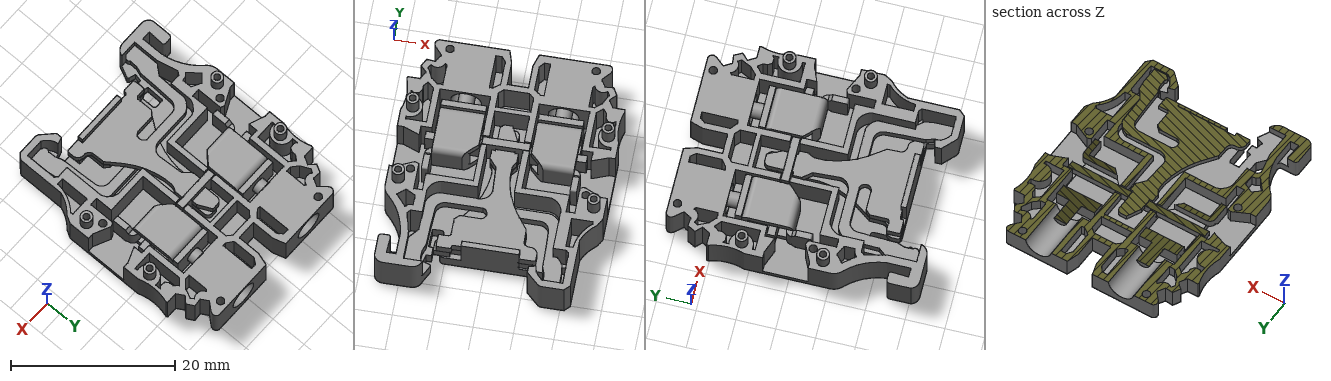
import cadquery as cq


width = 27.0
height = 32.2
body_depth = 5.0
pin_length = 2.05
catch_depth = 0.56
half_width = width / 2

chamber_floor = 0.72
pocket_floor = 1.04
foot_floor = 1.54
sheet_thickness = 1.05
sheet_bottom = 1.9
sheet_top = sheet_bottom + 2 * sheet_thickness

pin_radius = 0.78
pin_bore_radius = 0.42
pin_x = -12.1
pin_heights = (22.33, 12.11)
pin_pad_radius = 1.5
pin_pad_offset = 0.3
small_hole_radius = 0.5
small_holes = ((-9.04, 31.14), (-10.86, 13.66))

catch_outer_x = -12.7
catch_inner_x = -11.5
catch_bottom_y = 13.25
catch_top_y = 18.21
right_catch_shift = 0.3

foot_bottom_y = 3.94
stop_wall_left = -2.9
stop_wall_right = 4.29
stop_wall_width = 0.7
sheet_notch_depth = 0.5
sheet_notch_left = -4.1
sheet_left = -5.99
sheet_right = 6.33
sheet_corner_radius = 0.22
recess_overrun = 0.2

bar_bottom_y = 18.69
bar_width = 1.0
bar_half_length = 10.0
bar_web_half_length = 2.95
bar_web_top = 4.9
bar_arm_bottom = 1.65
bar_arm_top = 4.1
bar_seat_gap = 0.12
sheet_neck_half_width = 1.2

cage_outer_x = -8.8
cage_inner_x = -3.24
cage_bottom_y = 16.7
cage_ring_top_y = 23.2
cage_thickness = 0.81
cage_back = 0.76
cage_front = 4.92
cage_corner_cut = 1.75
lip_neck_back = 1.53
lip_neck_front = 4.1
lip_back = 1.05
lip_front = 4.57
lip_end_y = 14.2
lip_taper = 0.46
lip_end_radius = 0.23
screw_x = -6.03
screw_axis_z = (cage_back + cage_front) / 2
screw_radius = 1.0
screw_reach = 2.0
screw_hole_radius = 1.9
chamber_top_y = 25.36


def prism(outline, bottom, top):
    """Extrude a closed XY outline between two Z levels."""
    return outline.close().extrude(top - bottom).translate((0, 0, bottom))


def polygon(points, bottom, top):
    return prism(cq.Workplane("XY").polyline(points), bottom, top)


def block(x_range, y_range, z_range):
    corners = [(x, y_range[0]) for x in x_range] + [(x, y_range[1]) for x in reversed(x_range)]
    return polygon(corners, *z_range)


def mirrored(solid):
    return solid.mirror("YZ")


def screw_cylinder(radius, start_y, end_y):
    """Cylinder on the left clamp screw's axis."""
    circle = cq.Workplane("XZ").center(screw_x, screw_axis_z).circle(radius)
    return circle.extrude(start_y - end_y).translate((0, start_y, 0))


def housing_profile():
    """Outer outline: mirrored shoulders on top, and a different rail foot on each side."""
    shoulder = [
        (-10.98, 31.48), (-10.83, 31.16), (-9.92, 30.1), (-10.5, 29.11), (-11.58, 29.21),
        (-12.12, 28.2), (-11.34, 27.41), (-11.93, 26.4), (-13.44, 26.4),
    ]
    shoulder_tip = (-half_width, 26.17)
    waist_middle = (-13.12, 23.9)
    waist_end = (-half_width, 21.66)
    notch_corner = (-1.31, 27.41)
    notch_bend = (-1.31, 30.53)
    notch_mouth = (-1.82, 32.2)
    crown_end = (-10.5, height)
    crown_round = (-10.85, 31.99)

    def flip(point):
        return (-point[0], point[1])

    outline = (
        cq.Workplane("XY")
        .moveTo(*flip(notch_corner))
        .lineTo(*notch_corner)
        .lineTo(*notch_bend)
        .lineTo(*notch_mouth)
        .lineTo(*crown_end)
        .threePointArc(crown_round, shoulder[0])
        .polyline(shoulder, includeCurrent=False)
    )
    outline = (
        outline.lineTo(*shoulder_tip)
        .threePointArc(waist_middle, waist_end)
        .lineTo(-half_width, 10.94)
        .threePointArc((-13.35, 10.14), (-12.86, 9.44))
        .threePointArc((-11.43, 7.52), (-10.5, 4.51))
        .threePointArc((-10.6, 4.11), (-10.92, 3.96))
        .lineTo(-12.59, 3.96)
        .threePointArc((-12.93, 3.83), (-13.06, 3.49))
        .lineTo(-13.06, 0.87)
        .threePointArc((-12.78, 0.38), (-11.98, 0))
        .lineTo(-8.42, 0)
        .threePointArc((-7.62, 0.28), (-7.13, 1.02))
        .lineTo(-6.39, 2.52)
        .lineTo(-6.52, 2.71)
        .lineTo(-7.41, 2.99)
        .lineTo(-7.19, 3.96)
        .lineTo(-6.54, 3.96)
        .lineTo(-6.54, 5.1)
        .lineTo(-7.13, 5.23)
        .lineTo(-7.07, 7.66)
        .lineTo(-6.05, 7.69)
        .threePointArc((-5.75, 7.6), (-5.61, 7.28))
        .lineTo(-5.61, 4.51)
        .threePointArc((-5.46, 4.11), (-5.06, foot_bottom_y))
    )
    outline = (
        outline.lineTo(7.21, foot_bottom_y)
        .lineTo(7.51, 2.99)
        .lineTo(5.71, 2.48)
        .lineTo(5.71, 1.69)
        .lineTo(7.22, 0.23)
        .threePointArc((7.47, 0.06), (7.79, 0))
        .lineTo(10.54, 0)
        .lineTo(11.22, 0.72)
        .lineTo(11.22, 7.22)
        .threePointArc((11.91, 8.57), (12.91, 9.65))
        .lineTo(half_width, 10.67)
        .lineTo(*flip(waist_end))
        .threePointArc(flip(waist_middle), flip(shoulder_tip))
    )
    outline = (
        outline.polyline([flip(point) for point in reversed(shoulder)], includeCurrent=True)
        .threePointArc(flip(crown_round), flip(crown_end))
        .lineTo(*flip(notch_mouth))
        .lineTo(*flip(notch_bend))
    )
    return outline


def clamp_chamber():
    """Left chamber for a clamp cage, with its flared wire entry and the slot for the bar's end."""
    points = [
        (-9.27, chamber_top_y), (-3.01, chamber_top_y), (-3.01, 13.32), (-8.89, 13.32),
        (-8.89, 10.95), (-9.97, 10.95), (-9.97, 14.52), (-10.5, 14.71), (-12.72, 13.66),
        (-half_width, 13.66), (-half_width, 19.35), (-12.72, 19.35), (-10.64, 18.54),
        (-10.64, 19.79), (-9.27, 19.79),
    ]
    return polygon(points, chamber_floor, body_depth)


def driver_hole():
    """Hole from the top edge into the left chamber, in line with the clamp screw."""
    return screw_cylinder(screw_hole_radius, chamber_top_y, height)


def pin_pocket():
    """Pocket beside the upper pin, leaving a round pad about it."""
    points = [
        (-10.07, 25.36), (-10.86, 26.04), (-11.34, 25.45), (-11.34, 24.88), (-11.68, 24.37),
        (-12.38, 24.33), (-12.68, 24.56), (-12.68, 20.49), (-10.07, 20.49),
    ]
    pocket = polygon(points, pocket_floor, body_depth)
    pad = (
        cq.Workplane("XY")
        .center(pin_x - pin_pad_offset, pin_heights[0])
        .circle(pin_pad_radius)
        .extrude(body_depth)
    )
    return pocket.cut(pad)


def shoulder_pocket():
    outline = (
        cq.Workplane("XY")
        .moveTo(-9.03, 26.04)
        .lineTo(-9.75, 26.04)
        .lineTo(-10.58, 26.78)
        .lineTo(-11.21, 28.11)
        .lineTo(-10.92, 28.54)
        .threePointArc((-10.07, 28.31), (-9.25, 29.02))
        .lineTo(-9.03, 28.83)
    )
    return prism(outline, pocket_floor, body_depth)


def marker_slot():
    points = [
        (-3.39, 31.16), (-2.62, 31.16), (-2.1, 30.49), (-2.1, 27.27), (-2.96, 26.61), (-3.39, 26.61),
    ]
    return polygon(points, pocket_floor, body_depth)


def centre_pocket():
    points = [
        (-2.16, 24.03), (-2.16, 26.04), (-1.54, 26.61), (1.57, 26.61), (2.2, 26.04), (2.2, 24.03),
    ]
    return polygon(points, pocket_floor, body_depth)


def left_foot_pocket():
    points = [
        (-10.86, 10.69), (-11.87, 9.82), (-10.6, 8.3), (-10.16, 8.64), (-9.63, 8.7), (-9.63, 10.03),
    ]
    return polygon(points, pocket_floor, body_depth)


def right_foot_pocket():
    outline = (
        cq.Workplane("XY")
        .moveTo(9.71, 10.12)
        .lineTo(12.36, 10.12)
        .lineTo(12.36, 9.78)
        .threePointArc((11.11, 8.07), (10.6, 6.14))
        .lineTo(9.71, 6.14)
    )
    return prism(outline, pocket_floor, body_depth)


def hook_groove():
    """Groove behind the left hook, open towards the arm."""
    outline = (
        cq.Workplane("XY")
        .moveTo(-11.87, 3.96)
        .threePointArc((-11.66, 3.87), (-11.57, 3.58))
        .lineTo(-11.68, 1.48)
        .lineTo(-10.5, 1.48)
        .lineTo(-10.5, 4.51)
        .lineTo(-11.87, 4.51)
    )
    return prism(outline, pocket_floor, body_depth)


def foot_recess():
    """Open recess in which the two foot sheets lie, reaching down into both hooks."""
    outline = (
        cq.Workplane("XY")
        .moveTo(-2.29, 19.16)
        .lineTo(-2.29, 12.53)
        .lineTo(-6.84, 12.53)
        .threePointArc((-7.81, 11.98), (-8.36, 11.01))
        .lineTo(-8.36, 7.88)
        .lineTo(-9.82, 7.88)
        .lineTo(-10.16, 7.45)
        .lineTo(-9.5, 4.62)
        .lineTo(-9.5, 1.02)
        .lineTo(-5.99, 1.02)
        .lineTo(-5.99, foot_bottom_y - recess_overrun)
        .lineTo(6.62, foot_bottom_y - recess_overrun)
        .lineTo(6.62, 2.67)
        .threePointArc((7.0, 1.63), (7.75, 0.93))
        .lineTo(10.22, 0.93)
        .lineTo(10.22, 5.23)
        .lineTo(9.84, 5.57)
        .lineTo(8.23, 5.57)
        .lineTo(8.23, 11.01)
        .threePointArc((7.7, 11.98), (6.71, 12.53))
        .lineTo(2.2, 12.53)
        .lineTo(2.2, 19.16)
    )
    return prism(outline, foot_floor, body_depth)


def rail_openings():
    """Openings through the floor beside the left and right legs."""
    left = [(-9.82, 7.88), (-10.16, 7.45), (-9.5, 4.62), (-8.42, 5.99), (-8.42, 7.88)]
    right = [(8.99, 4.98), (10.22, 5.1), (10.22, 1.25), (8.99, 1.25)]
    return polygon(left, 0, body_depth).union(polygon(right, 0, body_depth))


def bar_seat():
    seat_x = (-3.01, 3.01)
    seat_y = (bar_bottom_y - bar_seat_gap, bar_bottom_y + bar_width + bar_seat_gap)
    seat = block(seat_x, seat_y, (foot_floor, body_depth))
    window = block((-2.16, 2.16), (seat_y[0], 23.43), (foot_floor, body_depth))
    return seat.union(window)


def locating_pin(y):
    return cq.Workplane("XY").center(pin_x, y).circle(pin_radius).extrude(body_depth + pin_length)


def pin_bore(y):
    bore = cq.Workplane("XY").center(pin_x, y).circle(pin_bore_radius).extrude(pin_length)
    return bore.translate((0, 0, body_depth))


def small_hole(centre):
    hole = cq.Workplane("XY").center(*centre).circle(small_hole_radius)
    return hole.extrude(body_depth - pocket_floor).translate((0, 0, pocket_floor))


def side_catch():
    """Wedge below the rear face, deepest on its inner side."""
    triangle = [(catch_outer_x, 0), (catch_inner_x, 0), (catch_inner_x, -catch_depth)]
    wedge = cq.Workplane("XZ").polyline(triangle).close().extrude(catch_bottom_y - catch_top_y)
    return wedge.translate((0, catch_bottom_y, 0))


def make_housing():
    housing = prism(housing_profile(), 0, body_depth)
    paired_cuts = [clamp_chamber(), driver_hole(), pin_pocket(), shoulder_pocket(), marker_slot()]
    paired_cuts += [small_hole(centre) for centre in small_holes]
    for cut in paired_cuts:
        housing = housing.cut(cut).cut(mirrored(cut))
    single_cuts = [
        centre_pocket(), left_foot_pocket(), right_foot_pocket(), hook_groove(),
        foot_recess(), bar_seat(), rail_openings(),
    ]
    for cut in single_cuts:
        housing = housing.cut(cut)
    stop_wall = block(
        (stop_wall_left, stop_wall_right),
        (foot_bottom_y, foot_bottom_y + stop_wall_width),
        (0, body_depth),
    )
    housing = housing.union(stop_wall)
    for y in pin_heights:
        pin = locating_pin(y).cut(pin_bore(y))
        housing = housing.union(pin).union(mirrored(pin))
    catch = side_catch()
    return housing.union(catch).union(mirrored(catch).translate((right_catch_shift, 0, 0)))


def foot_sheet(bottom):
    """Flat foot stamping with one spring leg on the left, its foot plate and a neck through the bar."""
    neck = sheet_neck_half_width
    corner = sheet_corner_radius
    notch_y = foot_bottom_y + sheet_notch_depth
    outline = (
        cq.Workplane("XY")
        .moveTo(-neck, 18.54)
        .lineTo(-neck, 21.66)
        .threePointArc((-1.02, 22.08), (-0.59, 22.29))
        .lineTo(0.3, 22.29)
        .lineTo(neck, 20.39)
        .lineTo(neck, 18.54)
        .lineTo(1.65, 18.54)
        .lineTo(1.65, 17.3)
        .threePointArc((1.35, 16.85), (1.21, 16.32))
        .lineTo(1.21, 15.28)
        .threePointArc((1.78, 12.66), (2.96, 10.25))
        .lineTo(4.44, 8.17)
        .lineTo(4.49, 6.56)
        .threePointArc((4.76, 5.99), (5.33, 5.8))
        .threePointArc((6.05, 5.55), (6.33, 4.95))
        .lineTo(sheet_right, foot_bottom_y + corner)
        .radiusArc((sheet_right - corner, foot_bottom_y), corner)
        .lineTo(stop_wall_right, foot_bottom_y)
        .lineTo(stop_wall_right, notch_y)
        .lineTo(sheet_notch_left + corner, notch_y)
        .radiusArc((sheet_notch_left, notch_y - corner), -corner)
        .radiusArc((sheet_notch_left - corner, foot_bottom_y), corner)
        .lineTo(sheet_left + corner, foot_bottom_y)
        .radiusArc((sheet_left, foot_bottom_y + corner), corner)
        .lineTo(sheet_left, 5.67)
        .lineTo(-4.76, 5.67)
        .threePointArc((-4.55, 5.78), (-4.47, 5.99))
        .lineTo(-4.47, 8.17)
        .lineTo(-3.87, 8.74)
        .lineTo(-1.25, 8.74)
        .threePointArc((-0.68, 9.5), (-1.25, 10.25))
        .lineTo(-5.71, 10.25)
        .threePointArc((-6.66, 9.87), (-7.02, 9.02))
    )
    outline = (
        outline.lineTo(-7.13, 6.84)
        .lineTo(-7.21, 4.0)
        .lineTo(-7.55, 3.05)
        .lineTo(-7.58, 2.01)
        .threePointArc((-7.41, 1.57), (-7.77, 1.16))
        .lineTo(-7.85, 1.02)
        .lineTo(-9.65, 1.02)
        .lineTo(-9.65, 3.43)
        .lineTo(-9.48, 4.7)
        .lineTo(-8.46, 5.95)
        .lineTo(-8.36, 9.97)
        .threePointArc((-7.81, 10.92), (-6.84, 11.49))
        .lineTo(-1.97, 11.49)
        .threePointArc((-0.93, 11.96), (-0.55, 12.91))
        .lineTo(-0.74, 16.22)
        .lineTo(-1.67, 17.36)
        .lineTo(-1.67, 18.54)
    )
    return prism(outline, bottom, bottom + sheet_thickness)


def make_bar():
    """Conductor bar: a tall web between the cages and a lower arm into each of them."""
    bar_y = (bar_bottom_y, bar_bottom_y + bar_width)
    web = block((-bar_web_half_length, bar_web_half_length), bar_y, (foot_floor, bar_web_top))
    arms = block((-bar_half_length, bar_half_length), bar_y, (bar_arm_bottom, bar_arm_top))
    slot = block((-sheet_neck_half_width, sheet_neck_half_width), bar_y, (sheet_bottom, sheet_top))
    return web.union(arms).cut(slot)


def cage_ring():
    """Bent strip open along X, doubled on its screw side and with one corner cut off."""
    x_range = (cage_outer_x, cage_inner_x)
    z_range = (cage_back, cage_front)
    ring = block(x_range, (cage_bottom_y, cage_ring_top_y), z_range)
    ring = ring.edges("|X").fillet(cage_thickness)
    ring = ring.cut(
        block(
            x_range,
            (cage_bottom_y + cage_thickness, cage_ring_top_y - cage_thickness),
            (cage_back + cage_thickness, cage_front - cage_thickness),
        )
    )
    flap = block(x_range, (cage_ring_top_y, cage_ring_top_y + cage_thickness), z_range)
    corner = [
        (cage_inner_x - cage_corner_cut, cage_bottom_y),
        (cage_inner_x, cage_bottom_y),
        (cage_inner_x, cage_bottom_y + cage_corner_cut),
    ]
    return ring.union(flap).cut(polygon(corner, cage_back, cage_front))


def cage_lip():
    """Continuation of the cage's lower side, bent down into a tapered tab."""
    thickness = cage_thickness
    bend_y = cage_bottom_y + thickness
    neck = (
        cq.Workplane("XY")
        .moveTo(cage_outer_x, cage_bottom_y)
        .lineTo(cage_outer_x, bend_y)
        .radiusArc((cage_outer_x - thickness, cage_bottom_y), -thickness)
    )
    neck = prism(neck, lip_neck_back, lip_neck_front)
    tab_profile = [
        (cage_bottom_y, lip_neck_back),
        (cage_bottom_y, lip_neck_front),
        (cage_bottom_y - lip_taper, lip_front),
        (lip_end_y, lip_front),
        (lip_end_y, lip_back),
        (cage_bottom_y - lip_taper, lip_back),
    ]
    tab = cq.Workplane("YZ").polyline(tab_profile).close().extrude(thickness)
    tab = tab.faces("<Y").edges("|X").fillet(lip_end_radius)
    return neck.union(tab.translate((cage_outer_x - thickness, 0, 0)))


def cage_screw():
    """Screw standing out of the cage and reaching into the driver hole."""
    return screw_cylinder(screw_radius, cage_ring_top_y + cage_thickness, chamber_top_y + screw_reach)


def make_cage():
    return cage_ring().union(cage_lip()).union(cage_screw())


bar = make_bar()
front_sheet = foot_sheet(sheet_bottom + sheet_thickness)
rear_sheet = mirrored(foot_sheet(sheet_bottom))
left_cage = make_cage()
cages = [left_cage, mirrored(left_cage)]

housing = make_housing().cut(front_sheet).cut(rear_sheet)

bodies = [housing, bar, front_sheet, rear_sheet, *cages]
result = cq.Compound.makeCompound([body.solids().val() for body in bodies])